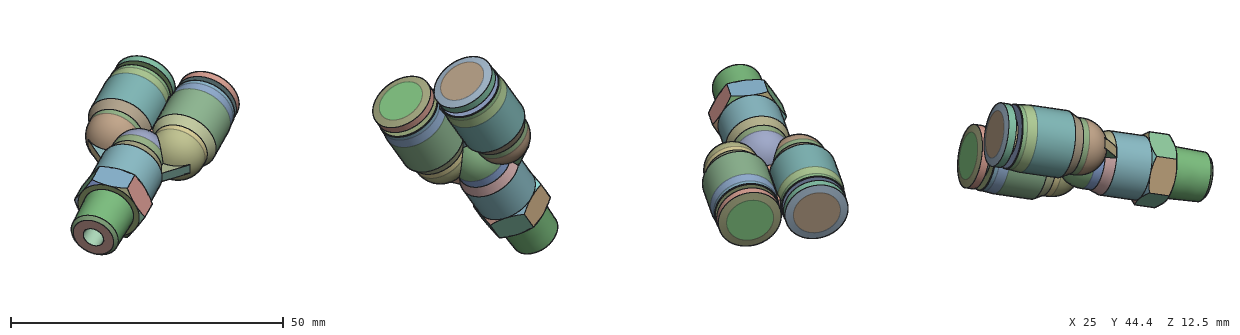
import cadquery as cq
import math

total_length = 44.4
total_width = 25.0

thread_length = 8.0
thread_end_radius = 4.6
thread_root_radius = 4.9
thread_chamfer = 0.65
bore_radius = 2.0

hex_flats = 12.0
hex_length = 5.0
hex_chamfer_angle = 30.0

stem_radius = hex_flats / 2
stem_shoulder_y = 20.02
neck_radius = 5.3
stem_neck_y = 22.0
stem_dome_y = 23.75

branch_radius = total_width / 4
branch_x = branch_radius
branch_dome_y = 27.75
branch_neck_y = 28.95
branch_shoulder_y = 30.95
taper_y = 38.5
collar_y = 40.45
collar_end_y = 41.43
collar_radius = 6.05
collar_chamfer = 0.15

button_stem_radius = 3.85
button_y = 42.6
button_radius = 5.9
button_face_radius = 4.4
button_bevel = 0.3

web_thickness = 2.05


def revolve_about_y(profile, axis_x=0.0):
    """Turn a closed (radius, Y) profile about an axis parallel to Y."""
    solid = profile.close().revolve(360, (0, 0, 0), (0, 1, 0))
    return solid.translate((axis_x, 0, 0))


def make_thread():
    profile = (
        cq.Workplane("XY")
        .lineTo(thread_end_radius - thread_chamfer, 0)
        .lineTo(thread_end_radius, thread_chamfer)
        .lineTo(thread_root_radius, thread_length)
        .lineTo(0, thread_length)
    )
    return revolve_about_y(profile)


def make_hexagon():
    start = thread_length
    end = start + hex_length
    corner_radius = hex_flats / math.sqrt(3)
    chamfer = (corner_radius - hex_flats / 2) * math.tan(math.radians(hex_chamfer_angle))
    prism = (
        cq.Workplane("XZ", origin=(0, start, 0))
        .polygon(6, 2 * corner_radius)
        .extrude(-hex_length)
    )
    chamfer_profile = (
        cq.Workplane("XY")
        .moveTo(0, start)
        .lineTo(hex_flats / 2, start)
        .lineTo(corner_radius, start + chamfer)
        .lineTo(corner_radius, end - chamfer)
        .lineTo(hex_flats / 2, end)
        .lineTo(0, end)
    )
    return prism.intersect(revolve_about_y(chamfer_profile))


def make_stem():
    start = thread_length + hex_length
    arc = neck_radius * math.sqrt(0.5)
    profile = (
        cq.Workplane("XY")
        .moveTo(0, start)
        .lineTo(stem_radius, start)
        .lineTo(stem_radius, stem_shoulder_y)
        .lineTo(neck_radius, stem_neck_y)
        .lineTo(neck_radius, stem_dome_y)
        .threePointArc((arc, stem_dome_y + arc), (0, stem_dome_y + neck_radius))
    )
    return revolve_about_y(profile)


def make_branch(side):
    arc = neck_radius * math.sqrt(0.5)
    profile = (
        cq.Workplane("XY")
        .moveTo(0, branch_dome_y - neck_radius)
        .threePointArc((arc, branch_dome_y - arc), (neck_radius, branch_dome_y))
        .lineTo(neck_radius, branch_neck_y)
        .lineTo(branch_radius, branch_shoulder_y)
        .lineTo(branch_radius, taper_y)
        .lineTo(collar_radius, collar_y)
        .lineTo(collar_radius, collar_end_y - collar_chamfer)
        .lineTo(collar_radius - collar_chamfer, collar_end_y)
        .lineTo(button_stem_radius, collar_end_y)
        .lineTo(button_stem_radius, button_y)
        .lineTo(button_radius, button_y)
        .lineTo(button_radius, total_length - button_bevel)
        .lineTo(button_face_radius, total_length)
        .lineTo(0, total_length)
    )
    return revolve_about_y(profile, side * branch_x)


def make_web():
    """Gussets tangent to the branch domes at 45 degrees, and the fill between the branches."""
    tangent = neck_radius * math.sqrt(0.5)
    tip_x = branch_x + tangent
    tip_y = branch_dome_y - tangent
    foot_x = tip_x - (tip_y - stem_shoulder_y)
    return (
        cq.Workplane("XY")
        .moveTo(-foot_x, stem_shoulder_y)
        .lineTo(foot_x, stem_shoulder_y)
        .lineTo(tip_x, tip_y)
        .lineTo(branch_x, branch_dome_y)
        .lineTo(branch_x, collar_y)
        .lineTo(-branch_x, collar_y)
        .lineTo(-branch_x, branch_dome_y)
        .lineTo(-tip_x, tip_y)
        .close()
        .extrude(web_thickness / 2, both=True)
    )


def make_passage():
    """Bore along the stem that ends in a cross bore reaching both branch axes."""
    cross_y = (stem_dome_y + branch_dome_y) / 2
    stem_bore = cq.Workplane("XZ").circle(bore_radius).extrude(-cross_y)
    cross_bore = (
        cq.Workplane("YZ", origin=(0, cross_y, 0))
        .circle(bore_radius)
        .extrude(branch_x, both=True)
    )
    return stem_bore.union(cross_bore)


body = make_thread().union(make_hexagon()).union(make_stem()).union(make_web())
for side in (-1, 1):
    body = body.union(make_branch(side))

result = body.cut(make_passage())